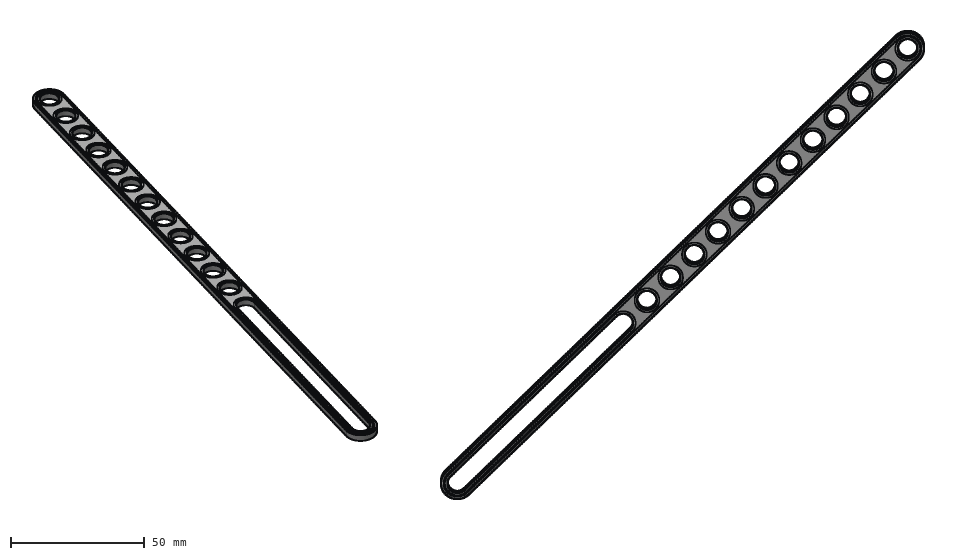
import cadquery as cq

LENGTH = 250.0
WIDTH = 12.5
THICKNESS = WIDTH / 4

OPENING_WIDTH = 7.0
HOLE_COUNT = 12
PITCH = WIDTH

EDGE_CHAMFER = 0.3

RIM_OUTER_WIDTH = 9.2
RIM_WIDTH = (RIM_OUTER_WIDTH - OPENING_WIDTH) / 2
RECESS_DEPTH = 0.18

END_ARC_X = (LENGTH - WIDTH) / 2
HOLE_CENTRES = [(index * PITCH - END_ARC_X, 0) for index in range(HOLE_COUNT)]
SLOT_START_X = HOLE_COUNT * PITCH - END_ARC_X
SLOT_CENTRE_X = (SLOT_START_X + END_ARC_X) / 2
SLOT_ARC_DISTANCE = END_ARC_X - SLOT_START_X


def slab(bottom_z, height, inset=0):
    """Round-ended slab following the strip outline, set inwards by inset."""
    plane = cq.Workplane("XY", origin=(0, 0, bottom_z))
    return plane.slot2D(LENGTH - 2 * inset, WIDTH - 2 * inset).extrude(height)


def openings(bottom_z, height, width):
    """Prisms over all the holes and the slot, each of the given width."""
    plane = cq.Workplane("XY", origin=(0, 0, bottom_z))
    holes = plane.pushPoints(HOLE_CENTRES).circle(width / 2).extrude(height)
    slot_plane = cq.Workplane("XY", origin=(SLOT_CENTRE_X, 0, bottom_z))
    slot = slot_plane.slot2D(SLOT_ARC_DISTANCE + width, width).extrude(height)
    return holes.union(slot)


def chamfered_strip():
    """Strip with its openings cut through and all face edges chamfered."""
    bottom_z = -THICKNESS / 2
    strip = slab(bottom_z, THICKNESS)
    strip = strip.cut(openings(bottom_z, THICKNESS, OPENING_WIDTH))
    return strip.faces("|Z").edges().chamfer(EDGE_CHAMFER)


def recess(bottom_z):
    """Material removed between the rims, one recess depth high."""
    area = slab(bottom_z, RECESS_DEPTH, RIM_WIDTH)
    return area.cut(openings(bottom_z, RECESS_DEPTH, RIM_OUTER_WIDTH))


result = chamfered_strip()
for recess_bottom_z in (-THICKNESS / 2, THICKNESS / 2 - RECESS_DEPTH):
    result = result.cut(recess(recess_bottom_z))